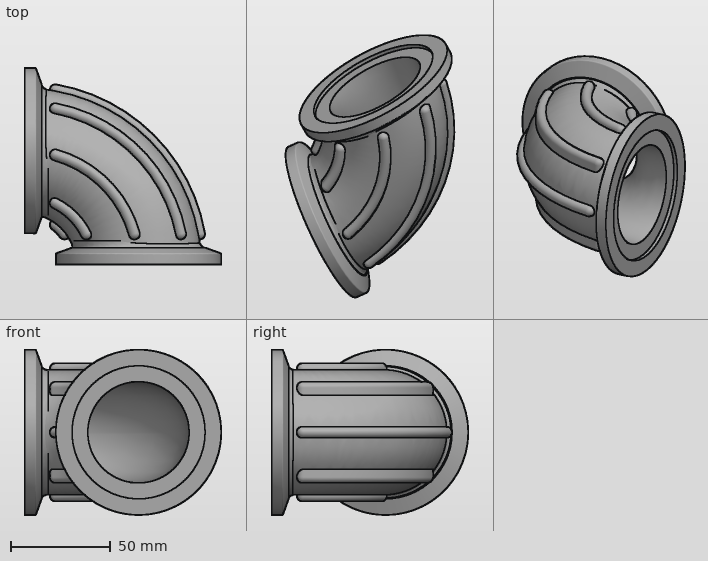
import cadquery as cq
import math

FLANGE_DIAMETER = 83.06
OVERALL_LENGTH = 98.68
BORE_DIAMETER = 50.8
TUBE_DIAMETER = 62.8

FLANGE_BACK = 8.6
FLANGE_HUB_DIAMETER = 66.8
FLANGE_BACK_SLOPE = 20.0
FLANGE_EDGE_ROUND = 0.8
SEAT_DIAMETER = 66.8
SEAT_DEPTH = 2.0

BLEND_OVERLAP = 0.1
BLEND_LENGTH = 3.4
BLEND_STATIONS = (0.0, 0.06, 0.25, 0.55, 1.0)
BLEND_SINK = 0.15

UPPER_RIB_ANGLES = (45, 90, 135)
MIDDLE_RIB_ANGLES = (0, 180)
RIB_WIDTH = 5.6
RIB_TOP_RADIUS = 34.7
RIB_SKIRT_DEPTH = 5.1
RIB_END_OFFSET = 15.4

flange_radius = FLANGE_DIAMETER / 2
hub_radius = FLANGE_HUB_DIAMETER / 2
blend_start = FLANGE_BACK - BLEND_OVERLAP
bore_radius = BORE_DIAMETER / 2
tube_radius = TUBE_DIAMETER / 2
bend_radius = OVERALL_LENGTH - flange_radius
rib_half_width = RIB_WIDTH / 2
rib_arc_radius = RIB_TOP_RADIUS - rib_half_width

ORIGIN = cq.Vector(0, 0, 0)
X_DIRECTION = cq.Vector(1, 0, 0)
Y_DIRECTION = cq.Vector(0, 1, 0)
Z_DIRECTION = cq.Vector(0, 0, 1)


def bend(radius):
    """Quarter torus about Z, from the X axis round to the Y axis."""
    section = cq.Workplane("XZ").center(bend_radius, 0).circle(radius)
    return section.revolve(90, (-bend_radius, 0), (-bend_radius, 1))


def swap_flange(shape):
    """Mirror image in the plane x = y, which takes one flange to the other."""
    return shape.mirror("YZ").rotate(ORIGIN, Z_DIRECTION, -90)


def flange():
    """Disc with a conical back and a rounded rim, on the -X end."""
    rim_width = FLANGE_BACK - (flange_radius - hub_radius) * math.tan(math.radians(FLANGE_BACK_SLOPE))
    profile = (
        cq.Workplane("XY")
        .moveTo(0, bend_radius)
        .lineTo(0, bend_radius + flange_radius)
        .lineTo(rim_width, bend_radius + flange_radius)
        .lineTo(FLANGE_BACK, bend_radius + hub_radius)
        .lineTo(FLANGE_BACK, bend_radius)
        .close()
    )
    disc = profile.revolve(360, (0, bend_radius), (1, bend_radius))
    margin = FLANGE_EDGE_ROUND / 8
    rim_edge = cq.selectors.BoxSelector(
        (rim_width - margin, 0, -OVERALL_LENGTH),
        (rim_width + margin, OVERALL_LENGTH, OVERALL_LENGTH),
    )
    return disc.edges(rim_edge).fillet(FLANGE_EDGE_ROUND)


def tube_section(x):
    """Near edge, far edge and half height of the tube cut at distance x from the flange face."""
    near = math.sqrt((bend_radius - tube_radius) ** 2 - x**2)
    far = math.sqrt((bend_radius + tube_radius) ** 2 - x**2)
    return near, far, tube_radius


def flange_blend():
    """Concave flare from the flange hub circle down to the tube surface.

    It is lofted through ellipses; the flare follows a quarter circle, from 1 at the hub to 0 at the tube.
    """
    near_start, far_start, height_start = tube_section(blend_start)
    near_growth = near_start - (bend_radius - hub_radius)
    far_growth = bend_radius + hub_radius - far_start
    height_growth = hub_radius - height_start
    wires = []
    for station in BLEND_STATIONS:
        flare = 1 - math.sqrt(1 - (1 - station) ** 2)
        sink = BLEND_SINK * station
        x = blend_start + station * BLEND_LENGTH
        near, far, height = tube_section(x)
        near = near - flare * near_growth + sink
        far = far + flare * far_growth - sink
        height = height + flare * height_growth - sink
        center = cq.Vector(x, (far + near) / 2, 0)
        half_width = max((far - near) / 2, height)
        wires.append(cq.Wire.makeEllipse(half_width, height, center, X_DIRECTION, Y_DIRECTION))
    return cq.Workplane(obj=cq.Solid.makeLoft(wires))


def rib(angle, skirt_tilt):
    """Round-topped rib along the bend, at the given angle around the tube section.

    Its straight sides run down into the tube wall, tilted from Z about Y by skirt_tilt.
    """
    center_radius = bend_radius + rib_arc_radius * math.cos(math.radians(angle))
    center = cq.Vector(center_radius, 0, rib_arc_radius * math.sin(math.radians(angle)))
    end_angle = math.degrees(math.asin(RIB_END_OFFSET / center_radius))

    section = (
        cq.Workplane("XZ")
        .moveTo(-rib_half_width, -RIB_SKIRT_DEPTH)
        .lineTo(rib_half_width, -RIB_SKIRT_DEPTH)
        .lineTo(rib_half_width, 0)
        .threePointArc((0, rib_half_width), (-rib_half_width, 0))
        .close()
        .wire()
        .val()
        .rotate(ORIGIN, Y_DIRECTION, skirt_tilt)
        .translate(center)
    )
    end_pin = (
        cq.Workplane("XZ")
        .moveTo(0, -RIB_SKIRT_DEPTH)
        .lineTo(rib_half_width, -RIB_SKIRT_DEPTH)
        .lineTo(rib_half_width, 0)
        .radiusArc((0, rib_half_width), -rib_half_width)
        .close()
        .revolve(360, (0, 0), (0, 1))
        .rotate(ORIGIN, Y_DIRECTION, skirt_tilt)
        .translate(center)
    )
    bar = cq.Workplane(obj=cq.Solid.revolve(section, [], 90 - 2 * end_angle, ORIGIN, Z_DIRECTION))
    bar = bar.rotate(ORIGIN, Z_DIRECTION, end_angle)
    for turn in (end_angle, 90 - end_angle):
        bar = bar.union(end_pin.rotate(ORIGIN, Z_DIRECTION, turn))
    return bar


def seat():
    """Shallow round recess in the flange face on the -X end."""
    return cq.Workplane("YZ").center(bend_radius, 0).circle(SEAT_DIAMETER / 2).extrude(SEAT_DEPTH)


end_fitting = flange().union(flange_blend())
body = bend(tube_radius).union(end_fitting).union(swap_flange(end_fitting))
for angle in UPPER_RIB_ANGLES:
    upper_rib = rib(angle, 0)
    body = body.union(upper_rib).union(upper_rib.mirror("XY"))
for angle in MIDDLE_RIB_ANGLES:
    body = body.union(rib(angle, 90 - angle))

result = body.cut(bend(bore_radius)).cut(seat()).cut(swap_flange(seat()))